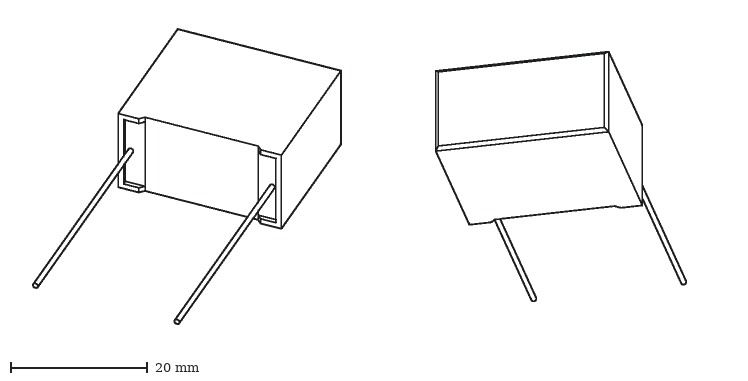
import cadquery as cq

case_width = 26.0
case_length = 22.9
case_height = 13.5
overall_length = 58.0
wall = 0.85
rear_chamfer = 0.5

relief_depth = 0.7
foot_width = 3.3

lead_spacing = 22.5
lead_diameter = 0.8
lead_length = overall_length - case_length

relief_y = relief_depth
rear_y = case_length
cavity_rear_y = rear_y - wall
bridge_rear_y = relief_y + wall
lead_tip_y = -lead_length

bridge_width = case_width - 2 * (foot_width + relief_depth)
cavity_width = case_width - 2 * wall
cavity_height = case_height - 2 * wall


def y_block(width, height, y_start, y_end):
    """Block centred on X and Z that spans y_start to y_end."""
    return cq.Workplane("XY").box(width, y_end - y_start, height).translate((0, (y_start + y_end) / 2, 0))


def make_relief():
    """Trapezoidal cutter that leaves a foot at each side of the open end."""
    half_mouth = case_width / 2 - foot_width
    half_floor = bridge_width / 2
    return (
        cq.Workplane("XY")
        .polyline([(-half_mouth, 0), (half_mouth, 0), (half_floor, relief_y), (-half_floor, relief_y)])
        .close()
        .extrude(case_height / 2, both=True)
    )


def make_bridge():
    """Full-height web of the case that joins its two broad walls at the open end."""
    return y_block(bridge_width, case_height, relief_y, bridge_rear_y)


def make_case():
    outer = y_block(case_width, case_height, 0, rear_y).faces(">Y").edges().chamfer(rear_chamfer)
    cavity = y_block(cavity_width, cavity_height, 0, cavity_rear_y).cut(make_bridge())
    return outer.cut(cavity).cut(make_relief())


def make_filling():
    """Resin that fills the cavity behind the bridge and comes level with it at both sides."""
    return y_block(cavity_width, cavity_height, relief_y, cavity_rear_y).cut(make_bridge())


def make_lead(x):
    """Straight round wire that stands on the resin face."""
    return (
        cq.Workplane("XZ", origin=(x, relief_y, 0))
        .circle(lead_diameter / 2)
        .extrude(relief_y - lead_tip_y)
    )


case = make_case()
filling = make_filling()
leads = [make_lead(side * lead_spacing / 2) for side in (-1, 1)]

result = cq.Compound.makeCompound([case.val(), filling.val(), *[lead.val() for lead in leads]])